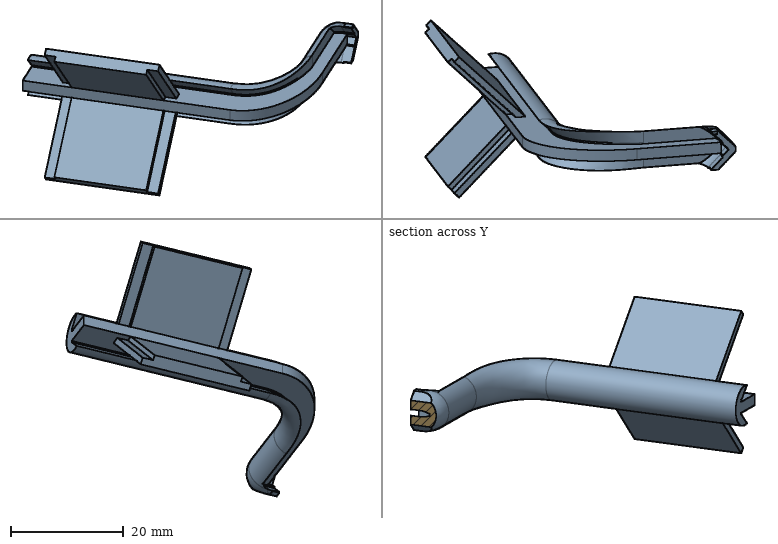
import cadquery as cq
import math

tube_radius = 3.65
floor_depth = 2.35
floor_half = 1.35
plate_half = 1.05
crown_y = 7.85
long_lip_y = 3.2
crown_x = 45.3
plate_edge_x = 50.05

bend_x = 37.45
bend_y = 19.85
bend_sections = 9
lip_exponent = 2.3
plate_bend_x = 38.3
plate_bend_y = 18.0

cap_y = 31.05
cap_radius = plate_edge_x - crown_x
cap_lip = 0.25
cap_slope = 5.15
cap_end_x = 51.4
tab_end_x = 51.5
tab_height = 0.5
relief_radius = 1.85
clear_height = 3.7

wing_inner = 1.05
wing_step = 2.35
wing_outer = 4.1
wing_reach = 22.2
wing_start_x = 7.05
wing_width = 21.0
wing_border = 2.0


def circle_half_height(depth):
    """Half height of the tube at a given depth below its crown."""
    return math.sqrt(tube_radius**2 - (tube_radius - depth) ** 2)


def tube_section(crown, lip):
    """Grooved tube section in the upright plane through two XY points."""
    lip_depth = math.dist(crown, lip)
    inward = cq.Vector(lip[0] - crown[0], lip[1] - crown[1], 0).normalized()
    plane = cq.Plane(
        origin=(crown[0], crown[1], 0),
        xDir=inward,
        normal=inward.cross(cq.Vector(0, 0, 1)),
    )
    lip_height = circle_half_height(lip_depth)
    return (
        cq.Workplane(plane)
        .moveTo(lip_depth, lip_height)
        .threePointArc((0, 0), (lip_depth, -lip_height))
        .lineTo(floor_depth, -floor_half)
        .lineTo(floor_depth, floor_half)
        .close()
    )


def quarter_point(span_x, span_y, turn, exponent=2.0):
    """Point on a quarter superellipse around the bend centre."""
    power = 2 / exponent
    return (
        bend_x + span_x * max(math.sin(turn), 0) ** power,
        bend_y - span_y * max(math.cos(turn), 0) ** power,
    )


def bend():
    wires = []
    for index in range(bend_sections):
        turn = math.pi / 2 * index / (bend_sections - 1)
        crown = quarter_point(crown_x - bend_x, bend_y - crown_y, turn)
        lip = quarter_point(
            crown_x + floor_depth - bend_x, bend_y - long_lip_y, turn, lip_exponent
        )
        wires.append(tube_section(crown, lip).wires().val())
    return cq.Workplane(cq.Solid.makeLoft(wires))


def long_arm():
    return tube_section((0, crown_y), (0, long_lip_y)).extrude(-bend_x)


def plate():
    span = plate_edge_x - plate_bend_x
    inner_y = crown_y - floor_depth / 2
    inner_x = crown_x + floor_depth / 2
    inner_middle = quarter_point(inner_x - bend_x, bend_y - inner_y, math.pi / 4)
    return (
        cq.Workplane()
        .workplane(offset=-plate_half)
        .lineTo(plate_bend_x, 0)
        .ellipseArc(span, plate_bend_y, 270, 360, startAtCurrent=True)
        .lineTo(plate_edge_x, cap_y + floor_depth)
        .lineTo(inner_x, cap_y + floor_depth)
        .lineTo(inner_x, bend_y)
        .threePointArc(inner_middle, (bend_x, inner_y))
        .lineTo(0, inner_y)
        .close()
        .extrude(2 * plate_half)
    )


def short_arm():
    """Round side of the short arm, still uncut on the groove side."""
    length = cap_y - bend_y
    width = plate_edge_x - crown_x
    round_bar = (
        cq.Workplane("XZ", origin=(crown_x + tube_radius, cap_y, 0))
        .circle(tube_radius)
        .extrude(length)
    )
    limit = cq.Workplane().box(
        width, length, 2 * tube_radius, centered=(False, False, True)
    ).translate((crown_x, bend_y, 0))
    return round_bar.intersect(limit)


def groove_turn():
    """Space cleared beyond the short arm lip, turning along X inside the hook."""
    lip_x = crown_x + floor_depth
    centre_x = lip_x + relief_radius
    centre_y = cap_y + cap_lip - relief_radius
    floor_radius = relief_radius + floor_depth - cap_lip
    lip_height = floor_half + floor_depth - cap_lip
    tip_radius = floor_radius + plate_half
    outline = [
        (0, clear_height),
        (relief_radius + lip_height - clear_height, clear_height),
        (floor_radius, floor_half),
        (floor_radius, plate_half),
        (tip_radius, 0),
        (floor_radius, -plate_half),
        (floor_radius, -floor_half),
        (relief_radius + lip_height - clear_height, -clear_height),
        (0, -clear_height),
    ]
    plane = cq.Workplane("YZ", origin=(centre_x, centre_y, 0))
    straight = plane.polyline(outline).close().extrude(tab_end_x - centre_x)
    beyond_floor = cq.Workplane().box(
        relief_radius, tip_radius, 2 * clear_height, centered=(False, False, True)
    ).translate((lip_x, centre_y, 0))
    turn = plane.polyline(outline).close().revolve(90, (0, 0, 0), (0, 1, 0))
    along_arm = cq.Workplane().box(
        tab_end_x - lip_x, centre_y - bend_y, 2 * clear_height, centered=(False, False, True)
    ).translate((lip_x, bend_y, 0))
    return straight.union(turn.intersect(beyond_floor)).union(along_arm)


def hook():
    """Pointed section turned a quarter circle, then run straight along X."""
    centre = cap_radius - tube_radius
    offset = (cap_slope - centre) / 2
    half_chord = math.sqrt(tube_radius**2 / 2 - offset**2)
    crest_u = centre + offset + half_chord
    crest_z = offset - half_chord
    shoulder_u = centre + offset - half_chord
    shoulder_z = offset + half_chord

    ridge = (
        cq.Workplane("YZ", origin=(crown_x, cap_y, 0))
        .moveTo(0, tube_radius)
        .lineTo(cap_slope - tube_radius, tube_radius)
        .lineTo(cap_slope, 0)
        .lineTo(cap_slope - tube_radius, -tube_radius)
        .lineTo(0, -tube_radius)
        .close()
        .extrude(cap_radius)
    )
    tube_turn = (
        cq.Workplane("YZ", origin=(plate_edge_x, cap_y, 0))
        .moveTo(0, tube_radius)
        .lineTo(centre, tube_radius)
        .threePointArc((cap_radius, 0), (centre, -tube_radius))
        .lineTo(0, -tube_radius)
        .close()
        .revolve(90, (0, 0, 0), (0, 1, 0))
        .intersect(ridge)
    )
    straight = (
        cq.Workplane("YZ", origin=(plate_edge_x, cap_y, 0))
        .moveTo(cap_lip, shoulder_z)
        .lineTo(shoulder_u, shoulder_z)
        .lineTo(crest_u, crest_z)
        .threePointArc((cap_radius, 0), (crest_u, -crest_z))
        .lineTo(shoulder_u, -shoulder_z)
        .lineTo(cap_lip, -shoulder_z)
        .close()
        .extrude(cap_end_x - plate_edge_x)
    )
    tab = cq.Workplane().box(
        tab_end_x - plate_edge_x, centre, tab_height, centered=False
    ).translate((plate_edge_x, cap_y + cap_lip, shoulder_z - tab_height))
    return tube_turn.union(straight).union(tab)


def wing_layer(inner, outer, start_x, width):
    """Slab on the +Z side, rooted at mid thickness of the web plate."""
    tip_inner = ((inner - wing_reach) / 2, (inner + wing_reach) / 2)
    tip_outer = ((outer - wing_reach) / 2, (outer + wing_reach) / 2)
    return (
        cq.Workplane("YZ", origin=(start_x, 0, 0))
        .polyline([
            (inner - plate_half, plate_half),
            tip_inner,
            tip_outer,
            (outer - plate_half, plate_half),
            (outer - plate_half, 0),
            (inner - plate_half, 0),
        ])
        .close()
        .extrude(width)
    )


def wings():
    outer_layer = wing_layer(wing_step, wing_outer, wing_start_x, wing_width)
    inner_layer = wing_layer(
        wing_inner, wing_step, wing_start_x + wing_border, wing_width - 2 * wing_border
    )
    upper = outer_layer.union(inner_layer)
    return upper.union(upper.mirror("XY"))


result = short_arm().union(hook()).cut(groove_turn())
for piece in (plate(), long_arm(), bend(), wings()):
    result = result.union(piece)